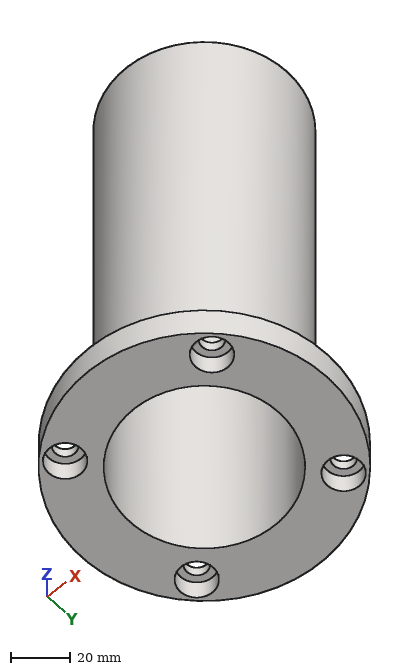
import cadquery as cq

total_height = 192.0

flange_diameter = 112.0
flange_thickness = 13.0

tube_outer_diameter = 75.0
bore_diameter = 68.0

bolt_hole_count = 4
bolt_hole_diameter = 9.0
bolt_circle_diameter = 94.0
first_bolt_angle = 180 / bolt_hole_count

counterbore_diameter = 15.0
counterbore_seat_thickness = 4.5
counterbore_depth = flange_thickness - counterbore_seat_thickness


def make_body():
    """Solid flange with a solid round post standing on the same base plane."""
    flange = cq.Workplane("XY").circle(flange_diameter / 2).extrude(flange_thickness)
    post = cq.Workplane("XY").circle(tube_outer_diameter / 2).extrude(total_height)
    return flange.union(post)


def make_bore():
    """Bore running through the tube and the flange."""
    return cq.Workplane("XY").circle(bore_diameter / 2).extrude(total_height)


def make_bolt_circle_pins(diameter, height):
    """Evenly spaced cylinders on the bolt circle, rising from the underside."""
    return (
        cq.Workplane("XY")
        .polarArray(bolt_circle_diameter / 2, first_bolt_angle, 360, bolt_hole_count)
        .circle(diameter / 2)
        .extrude(height)
    )


bolt_holes = make_bolt_circle_pins(bolt_hole_diameter, flange_thickness)
counterbores = make_bolt_circle_pins(counterbore_diameter, counterbore_depth)

result = make_body().cut(make_bore()).cut(bolt_holes).cut(counterbores)